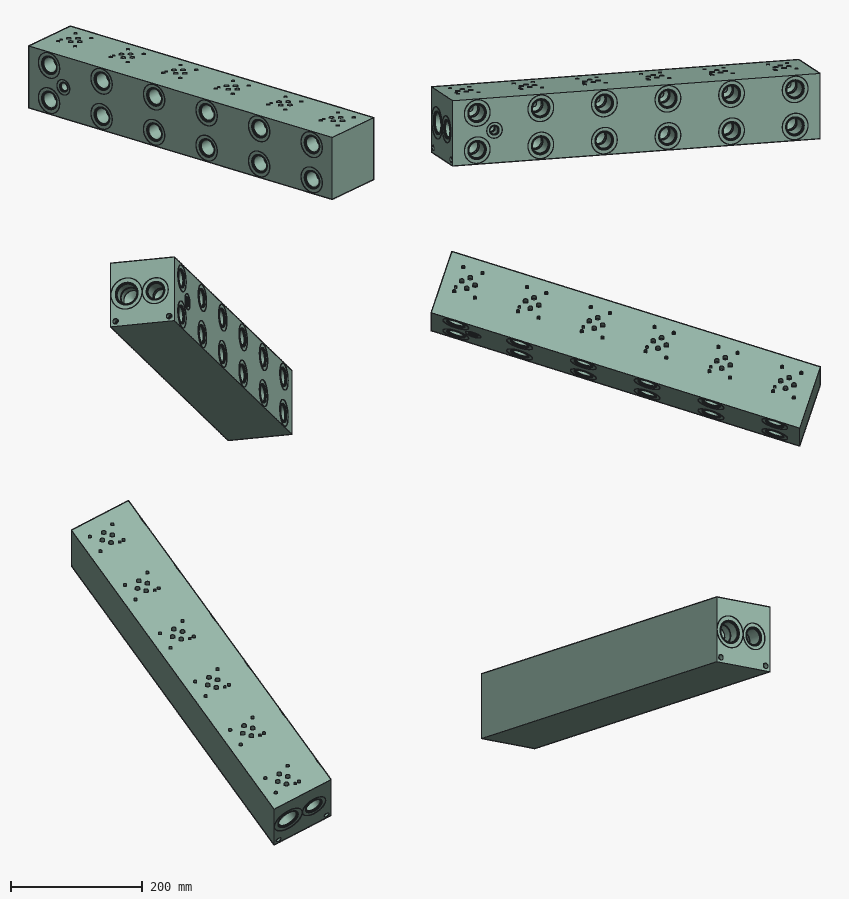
import cadquery as cq
import math

LENGTH = 587.5
SIDE = 101.5

FRONT = cq.Plane(origin=(0, -SIDE / 2, 0), xDir=(1, 0, 0), normal=(0, -1, 0))
TOP = cq.Plane(origin=(0, 0, SIDE / 2), xDir=(1, 0, 0), normal=(0, 0, 1))
LEFT = cq.Plane(origin=(-LENGTH / 2, 0, 0), xDir=(0, -1, 0), normal=(-1, 0, 0))

DRILL_POINT_ANGLE = 118.0

STATION_COUNT = 6
STATION_PITCH = 101.5
FIRST_STATION = 39.5 - LENGTH / 2
STATIONS = [FIRST_STATION + i * STATION_PITCH for i in range(STATION_COUNT)]

SPOTFACE_DEPTH = 0.5
ENTRY_DEPTH = 2.0
SEAT_DEPTH = 3.0

MEDIUM_PORT = {
    "spotface": 41.0,
    "entry": 29.5,
    "seat": 27.0,
    "thread": 24.5,
    "bore": 23.0,
    "thread_depth": 27.0,
    "depth": 32.5,
}
OUTLET_OFFSET = 29.0
RETURN_Y = -20.5

CROSS_DRILL = 10.5
CROSS_DRILL_DEPTH = 47.0

LARGE_PORT = {
    "spotface": 49.5,
    "entry": 36.0,
    "seat": 33.5,
    "thread": 31.0,
    "bore": 29.0,
    "thread_depth": 19.0,
    "depth": 32.5,
}
SUPPLY_Y = 25.0

SMALL_PORT = {
    "spotface": 24.5,
    "entry": 15.0,
    "seat": 13.5,
    "thread": 12.5,
    "bore": 10.5,
    "thread_depth": 15.0,
    "depth": 17.5,
}
GAUGE_SHIFT = 27.5

MOUNT_THREAD = 8.0
MOUNT_THREAD_DEPTH = 10.5
MOUNT_DRILL = 6.5
MOUNT_DEPTH = 14.5
MOUNT_INSET = 8.0

PATTERN_Y = 11.0
VALVE_PORT = 7.0
VALVE_PORT_DEPTH = 17.5
VALVE_PORTS = [(0, 9.0), (0, -9.0), (10.5, 0), (-10.5, 0)]
VALVE_BOLT_THREAD = 4.8
VALVE_BOLT_THREAD_DEPTH = 8.0
VALVE_BOLT_DRILL = 3.75
VALVE_BOLT_DEPTH = 12.0
VALVE_BOLTS = [(15.0, 22.0), (-15.0, 22.0), (-16.5, -19.0), (16.5, -19.0)]
VALVE_PIN = 3.95
VALVE_PIN_DEPTH = 4.5
VALVE_PIN_PLACE = (-16.5, -12.0)


def stepped_tool(steps):
    """Solid of a blind hole with (diameter, bottom depth) steps, widest first, and a drill point."""
    outline = [(0, 0)]
    top = 0
    for diameter, bottom in steps:
        outline += [(diameter / 2, -top), (diameter / 2, -bottom)]
        top = bottom
    last_diameter = steps[-1][0]
    point = last_diameter / 2 / math.tan(math.radians(DRILL_POINT_ANGLE / 2))
    outline.append((0, -top - point))
    return cq.Workplane("XZ").polyline(outline).close().revolve(360, (0, 0), (0, 1)).val()


def cut_holes(body, face, places, *steps):
    """Cut the same stepped hole at every place on a face."""
    tool = stepped_tool(steps)
    tools = cq.Workplane(face).pushPoints(places).eachpoint(lambda place: tool.moved(place), True)
    return body.cut(tools)


def cut_ports(body, face, places, size):
    """Cut a port: shallow spotface, entry, seat, thread and a smaller bore."""
    return cut_holes(
        body,
        face,
        places,
        (size["spotface"], SPOTFACE_DEPTH),
        (size["entry"], ENTRY_DEPTH),
        (size["seat"], SEAT_DEPTH),
        (size["thread"], size["thread_depth"]),
        (size["bore"], size["depth"]),
    )


def at_stations(pattern):
    """Repeat a valve pattern at every station of the top face."""
    return [(station + x, PATTERN_Y + y) for station in STATIONS for x, y in pattern]


result = cq.Workplane("XY").box(LENGTH, SIDE, SIDE)

upper_outlets = [(x, OUTLET_OFFSET) for x in STATIONS]
lower_outlets = [(x, -OUTLET_OFFSET) for x in STATIONS]
result = cut_ports(result, FRONT, upper_outlets + lower_outlets, MEDIUM_PORT)
result = cut_holes(result, FRONT, upper_outlets, (CROSS_DRILL, CROSS_DRILL_DEPTH))
result = cut_ports(result, FRONT, [(FIRST_STATION + GAUGE_SHIFT, 0)], SMALL_PORT)

result = cut_ports(result, LEFT, [(-SUPPLY_Y, 0)], LARGE_PORT)
result = cut_ports(result, LEFT, [(-RETURN_Y, 0)], MEDIUM_PORT)
mount_offset = SIDE / 2 - MOUNT_INSET
result = cut_holes(
    result,
    LEFT,
    [(-mount_offset, -mount_offset), (mount_offset, -mount_offset)],
    (MOUNT_THREAD, MOUNT_THREAD_DEPTH),
    (MOUNT_DRILL, MOUNT_DEPTH),
)

result = cut_holes(result, TOP, at_stations(VALVE_PORTS), (VALVE_PORT, VALVE_PORT_DEPTH))
result = cut_holes(
    result,
    TOP,
    at_stations(VALVE_BOLTS),
    (VALVE_BOLT_THREAD, VALVE_BOLT_THREAD_DEPTH),
    (VALVE_BOLT_DRILL, VALVE_BOLT_DEPTH),
)
result = cut_holes(result, TOP, at_stations([VALVE_PIN_PLACE]), (VALVE_PIN, VALVE_PIN_DEPTH))